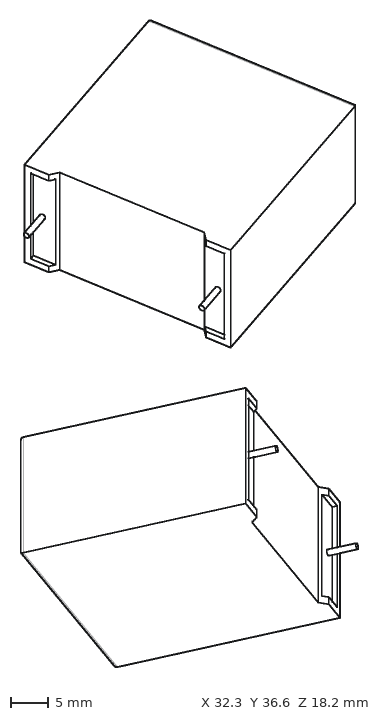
import cadquery as cq

case_width = 32.3
case_height = 18.2
total_length = 36.6
pin_projection = 3.5
case_length = total_length - pin_projection
rear_radius = 0.55

foot_width = 3.85
relief_depth = 1.15
relief_slope_run = 1.0

pocket_side_wall = 1.0
pocket_end_wall = 1.15
pocket_depth = 0.75
pocket_height = case_height - 2 * pocket_end_wall
pocket_inner_edge = foot_width + relief_slope_run * pocket_depth / relief_depth
pocket_width = pocket_inner_edge - pocket_side_wall

pin_spacing = 27.5
pin_diameter = 0.88
pin_length = pocket_depth + pin_projection

half_width = case_width / 2
sides = (-1, 1)


def make_relief():
    """Trapezoidal channel through the full height, between the feet."""
    outer_x = half_width - foot_width
    inner_x = outer_x - relief_slope_run
    return (
        cq.Workplane("XY", origin=(0, 0, -case_height / 2))
        .polyline([
            (-outer_x, 0),
            (-inner_x, relief_depth),
            (inner_x, relief_depth),
            (outer_x, 0),
        ])
        .close()
        .extrude(case_height)
    )


def make_pocket(side):
    """Rectangular recess in the front of one foot."""
    center_x = half_width - pocket_side_wall - pocket_width / 2
    return cq.Workplane("XY", origin=(side * center_x, 0, 0)).box(
        pocket_width, pocket_depth, pocket_height, centered=(True, False, True)
    )


def make_case():
    """Block with rounded rear edges, and with the relief and pockets in its front."""
    case = (
        cq.Workplane("XY")
        .box(case_width, case_length, case_height, centered=(True, False, True))
        .faces(">Y")
        .edges()
        .fillet(rear_radius)
        .cut(make_relief())
    )
    for side in sides:
        case = case.cut(make_pocket(side))
    return case


def make_pin(side):
    """Round pin along Y, from the pocket floor to its free end."""
    return (
        cq.Workplane("XZ", origin=(side * pin_spacing / 2, pocket_depth, 0))
        .circle(pin_diameter / 2)
        .extrude(pin_length)
    )


case = make_case()
pins = [make_pin(side) for side in sides]
result = cq.Compound.makeCompound([case.val(), *[pin.val() for pin in pins]])